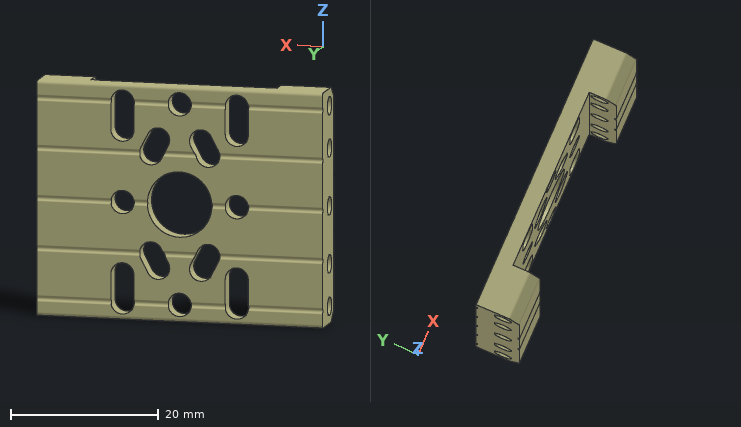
import cadquery as cq
import math

length = 40.0
depth = 6.5
height = 32.5
front_y = -depth / 2
back_y = depth / 2

web_width = 26.0
web_thickness = 2.5

front_chamfer = 1.5
edge_radius = 0.5

pitch = 8.0
row_height = pitch * math.sin(math.radians(60))
bolt_diameter = 3.2
bore_diameter = 9.0

corner_slot_bottom = 10.0
corner_slot_travel = 2 * row_height - corner_slot_bottom
slanted_slot_travel = 2.17
slanted_slot_angle = 62.5

cross_hole_diameter = 2.5
cross_hole_inset = 2.5
cross_hole_heights = [-2 * row_height, -pitch, 0, pitch, 2 * row_height]

groove_radius = 0.35
groove_depth = 0.25
groove_lip_radius = 0.2
front_groove_heights = [-pitch / 2, pitch / 2]
back_groove_heights = [row * row_height for row in range(-2, 3)]


def make_block():
    """Rectangular block with chamfered front edges, all long edges softened."""
    block = cq.Workplane("XY").box(length, depth, height)
    block = block.faces("<Y").edges("|X").chamfer(front_chamfer)
    return block.edges("|X").fillet(edge_radius)


def cut_groove(body, face_y, outward, z):
    """Cut one round-bottomed groove and round its lips; outward is the face's Y direction."""
    center_y = face_y + outward * (groove_radius - groove_depth)
    cutter = (
        cq.Workplane("YZ", origin=(-length / 2, 0, 0))
        .center(center_y, z)
        .circle(groove_radius)
        .extrude(length)
    )
    reach = groove_radius + groove_lip_radius
    around_groove = cq.selectors.BoxSelector(
        (-length, face_y - reach, z - reach),
        (length, face_y + reach, z + reach),
    )
    lips = body.cut(cutter).edges("|X").edges(around_groove)
    return lips.fillet(groove_lip_radius)


def make_recess():
    """Space between the rails, in front of the web."""
    recess_depth = depth - web_thickness
    return cq.Workplane("XY").box(web_width, recess_depth, height).translate(
        (0, front_y + recess_depth / 2, 0)
    )


def web_plane():
    """Sketch plane on the back face, with local X and Y along X and Z."""
    return cq.Workplane("XZ", origin=(0, back_y, 0))


def make_web_holes():
    """Central bore and the four round bolt holes around it."""
    bolt_points = [
        (-pitch, 0),
        (pitch, 0),
        (0, -2 * row_height),
        (0, 2 * row_height),
    ]
    bore = web_plane().circle(bore_diameter / 2).extrude(depth)
    bolts = web_plane().pushPoints(bolt_points).circle(bolt_diameter / 2).extrude(depth)
    return bore.union(bolts)


def make_slot(x, z, travel, angle):
    """Slot of bolt width whose inner end centre is at (x, z)."""
    direction = math.radians(angle)
    center_x = x + travel / 2 * math.cos(direction)
    center_z = z + travel / 2 * math.sin(direction)
    return (
        web_plane()
        .center(center_x, center_z)
        .slot2D(travel + bolt_diameter, bolt_diameter, angle)
        .extrude(depth)
    )


def make_slots():
    """A vertical and a slanted slot in one quadrant, mirrored to all four."""
    corner = make_slot(pitch, corner_slot_bottom, corner_slot_travel, 90)
    slanted = make_slot(pitch / 2, row_height, slanted_slot_travel, 180 - slanted_slot_angle)
    quadrant = corner.union(slanted)
    upper_pair = quadrant.union(quadrant.mirror("YZ"))
    return upper_pair.union(upper_pair.mirror("XY"))


def make_cross_holes():
    """Holes along X through the rails, in front of the web."""
    hole_y = front_y + cross_hole_inset
    points = [(hole_y, z) for z in cross_hole_heights]
    return (
        cq.Workplane("YZ", origin=(-length / 2, 0, 0))
        .pushPoints(points)
        .circle(cross_hole_diameter / 2)
        .extrude(length)
    )


body = make_block()
for groove_z in front_groove_heights:
    body = cut_groove(body, front_y, -1, groove_z)
for groove_z in back_groove_heights:
    body = cut_groove(body, back_y, 1, groove_z)

result = (
    body.cut(make_recess())
    .cut(make_web_holes())
    .cut(make_slots())
    .cut(make_cross_holes())
)